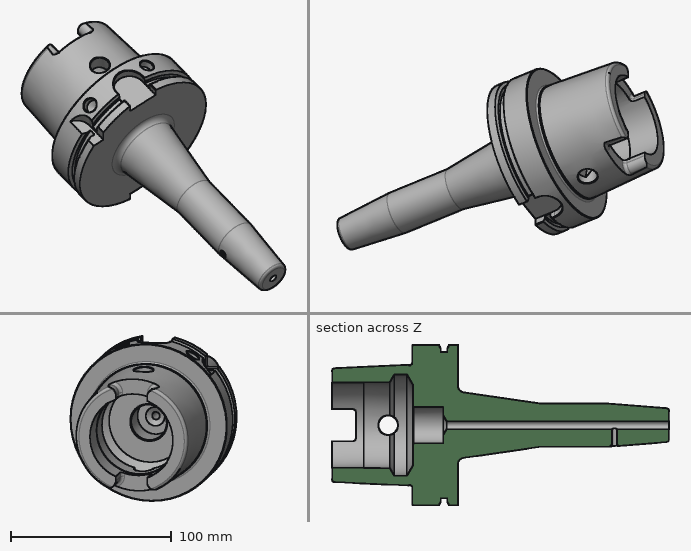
import cadquery as cq
import math


DRILL_HALF_ANGLE = 59.0
PICK_MARGIN = 1.0

SHANK_LENGTH = 50.0
SHANK_TIP_RADIUS = 35.5
SHANK_BASE_RADIUS = 75.5 / 2
SHANK_TIP_ROUND = 2.0
RELIEF_START = 47.7
RELIEF_FLANK_WIDTH = 0.5
RELIEF_END = 48.7
RELIEF_DEPTH = 0.5
SHANK_SLOPE = (SHANK_BASE_RADIUS - SHANK_TIP_RADIUS) / RELIEF_START
FLANGE_CORNER_ROUND = SHANK_LENGTH - RELIEF_END

FLANGE_RADIUS = 100.0 / 2
FLANGE_WIDTH = 28.5
REAR_RIM_CHAMFER = 0.5
FLANGE_END = SHANK_LENGTH + FLANGE_WIDTH
GROOVE_START = 66.8
GROOVE_END = 72.9
GROOVE_RADIUS = 45.5
GROOVE_FLANK_WIDTH = 1.0
GROOVE_FLANK_DEPTH = 2.3

TOTAL_LENGTH = 210.0
NECK_BASE_RADIUS = 21.0
NECK_FILLET = 4.2
NECK_END = 130.0
BODY_RADIUS = 27.0 / 2
BODY_END = 171.8
NOSE_TAPER_ANGLE = 4.5
NOSE_ROUND = 1.9

MOUTH_RADIUS = 53.0 / 2
MOUTH_DEPTH = 20.0
THROAT_RADIUS = 26.7
THROAT_END = 36.1
CHAMBER_RADIUS = 63.0 / 2
SHOULDER_ANGLE = 30.0
CAVITY_FLOOR_RADIUS = 25.2
CAVITY_FLOOR_X = 50.5
TUBE_SEAT_RADIUS = 22.5 / 2
TUBE_SEAT_CHAMFER = 0.6
TUBE_SEAT_END = 69.3
FUNNEL_RADIUS = 12.0 / 2
COOLANT_RADIUS = 4.8 / 2

SHANK_SLOT_WIDTH = 20.0
SHANK_SLOT_DEPTHS = {1: 9.7, -1: 15.0}
SHANK_SLOT_FLOOR_ROUND = 2.0
SLOT_SHOULDER_HEIGHT = 32.1
SLOT_SHOULDER_ROUND = 5.0

CROSS_HOLE_DIAMETER = 12.0
CROSS_HOLE_X = 35.0
CROSS_HOLE_CHAMFER = 0.5

END_MILL_DIAMETER = 20.0
DRIVE_SLOT_START = 55.0
DRIVE_SLOT_FLOOR = 43.7
DRIVE_SLOT_CHAMFER = 0.5
NOTCH_START = 54.6
NOTCH_OFFSET = 31.3

RIM_HOLE_DIAMETER = 8.6
RIM_HOLE_X = 58.8
RIM_HOLE_ANGLES = (22.0, -32.0)
RIM_HOLE_DEPTH = 5.0
RIM_HOLE_CHAMFER = 0.5

SIDE_HOLE_X = 176.0
SIDE_HOLE_DIAMETER = 5.0
SIDE_HOLE_DEPTH = 0.8
SIDE_BORE_DIAMETER = 3.0


def revolve_about_x(outline):
    return outline.close().revolve(360, (0, 0, 0), (1, 0, 0))


def edges_centered_near(*center):
    """Selector for edges whose center lies close to the given point."""
    low = tuple(c - PICK_MARGIN for c in center)
    high = tuple(c + PICK_MARGIN for c in center)
    return cq.selectors.BoxSelector(low, high)


def make_shank():
    relief_radius = SHANK_BASE_RADIUS - RELIEF_DEPTH
    shank = revolve_about_x(
        cq.Workplane("XY")
        .lineTo(0, SHANK_TIP_RADIUS)
        .lineTo(RELIEF_START, SHANK_BASE_RADIUS)
        .lineTo(RELIEF_START + RELIEF_FLANK_WIDTH, relief_radius)
        .lineTo(RELIEF_END, relief_radius)
        .lineTo(RELIEF_END, SHANK_BASE_RADIUS)
        .radiusArc((SHANK_LENGTH, SHANK_BASE_RADIUS + FLANGE_CORNER_ROUND), -FLANGE_CORNER_ROUND)
        .lineTo(SHANK_LENGTH, 0)
    )
    return shank.faces("<X").edges().fillet(SHANK_TIP_ROUND)


def make_flange_blank():
    blank = cq.Workplane("YZ", origin=(SHANK_LENGTH, 0, 0)).circle(FLANGE_RADIUS).extrude(FLANGE_WIDTH)
    return blank.faces("<X").chamfer(REAR_RIM_CHAMFER)


def make_gripper_groove():
    flank_radius = FLANGE_RADIUS - GROOVE_FLANK_DEPTH
    floor_start = GROOVE_START + GROOVE_FLANK_WIDTH
    floor_end = GROOVE_END - GROOVE_FLANK_WIDTH
    return revolve_about_x(
        cq.Workplane("XY")
        .moveTo(GROOVE_START, FLANGE_RADIUS)
        .lineTo(floor_start, flank_radius)
        .lineTo(floor_start, GROOVE_RADIUS)
        .lineTo(floor_end, GROOVE_RADIUS)
        .lineTo(floor_end, flank_radius)
        .lineTo(GROOVE_END, FLANGE_RADIUS)
    )


def make_nose():
    tip_radius = BODY_RADIUS - (TOTAL_LENGTH - BODY_END) * math.tan(math.radians(NOSE_TAPER_ANGLE))
    nose = revolve_about_x(
        cq.Workplane("XY")
        .moveTo(FLANGE_END, 0)
        .lineTo(FLANGE_END, NECK_BASE_RADIUS)
        .lineTo(NECK_END, BODY_RADIUS)
        .lineTo(BODY_END, BODY_RADIUS)
        .lineTo(TOTAL_LENGTH, tip_radius)
        .lineTo(TOTAL_LENGTH, 0)
    )
    return nose.faces(">X").edges().fillet(NOSE_ROUND)


def round_neck_root(body):
    reach = NECK_BASE_RADIUS + PICK_MARGIN
    root = cq.selectors.BoxSelector(
        (FLANGE_END - PICK_MARGIN, -reach, -reach),
        (FLANGE_END + PICK_MARGIN, reach, reach),
        boundingbox=True,
    )
    return body.edges(root).fillet(NECK_FILLET)


def make_cavity():
    shoulder_slope = math.tan(math.radians(SHOULDER_ANGLE))
    chamber_start = THROAT_END + (CHAMBER_RADIUS - THROAT_RADIUS) * shoulder_slope
    chamber_end = CAVITY_FLOOR_X - (CHAMBER_RADIUS - CAVITY_FLOOR_RADIUS) * shoulder_slope
    funnel_length = (FUNNEL_RADIUS - COOLANT_RADIUS) / math.tan(math.radians(DRILL_HALF_ANGLE))
    return revolve_about_x(
        cq.Workplane("XY")
        .lineTo(0, MOUTH_RADIUS)
        .lineTo(MOUTH_DEPTH, MOUTH_RADIUS)
        .lineTo(MOUTH_DEPTH, THROAT_RADIUS)
        .lineTo(THROAT_END, THROAT_RADIUS)
        .lineTo(chamber_start, CHAMBER_RADIUS)
        .lineTo(chamber_end, CHAMBER_RADIUS)
        .lineTo(CAVITY_FLOOR_X, CAVITY_FLOOR_RADIUS)
        .lineTo(CAVITY_FLOOR_X, TUBE_SEAT_RADIUS + TUBE_SEAT_CHAMFER)
        .lineTo(CAVITY_FLOOR_X + TUBE_SEAT_CHAMFER, TUBE_SEAT_RADIUS)
        .lineTo(TUBE_SEAT_END, TUBE_SEAT_RADIUS)
        .lineTo(TUBE_SEAT_END, FUNNEL_RADIUS)
        .lineTo(TUBE_SEAT_END + funnel_length, COOLANT_RADIUS)
        .lineTo(TOTAL_LENGTH, COOLANT_RADIUS)
        .lineTo(TOTAL_LENGTH, 0)
    )


def make_shank_slot(side, depth):
    """Slot across one wall of the shank, with rounded shoulders and a rounded floor edge."""
    half_width = SHANK_SLOT_WIDTH / 2
    shoulder_y = half_width + SLOT_SHOULDER_ROUND
    shoulder_base = SLOT_SHOULDER_HEIGHT - SLOT_SHOULDER_ROUND
    slot = (
        cq.Workplane("YZ")
        .moveTo(-half_width, 0)
        .lineTo(-half_width, shoulder_base)
        .radiusArc((-shoulder_y, SLOT_SHOULDER_HEIGHT), -SLOT_SHOULDER_ROUND)
        .lineTo(-FLANGE_RADIUS, SLOT_SHOULDER_HEIGHT)
        .lineTo(-FLANGE_RADIUS, FLANGE_RADIUS)
        .lineTo(FLANGE_RADIUS, FLANGE_RADIUS)
        .lineTo(FLANGE_RADIUS, SLOT_SHOULDER_HEIGHT)
        .lineTo(shoulder_y, SLOT_SHOULDER_HEIGHT)
        .radiusArc((half_width, shoulder_base), -SLOT_SHOULDER_ROUND)
        .lineTo(half_width, 0)
        .close()
        .extrude(depth)
    )
    side_edges = slot.faces(">X").edges("not(>Z or <Z or >Y or <Y)")
    slot = side_edges.fillet(SHANK_SLOT_FLOOR_ROUND)
    return slot if side > 0 else slot.mirror("XY")


def make_end_milled_slot(start_x, center_y, floor_z):
    """Round-ended slot cut from +Z down to floor_z and open at the nose side of the flange."""
    radius = END_MILL_DIAMETER / 2
    round_center = start_x + radius
    height = FLANGE_RADIUS - floor_z
    return (
        cq.Workplane("XY", origin=(0, center_y, floor_z))
        .moveTo(FLANGE_END, -radius)
        .lineTo(round_center, -radius)
        .threePointArc((start_x, 0), (round_center, radius))
        .lineTo(FLANGE_END, radius)
        .close()
        .extrude(height)
    )


def make_rim_hole(angle):
    """Radial drilled hole in the flange rim, turned about X from +Z toward +Y."""
    radius = RIM_HOLE_DIAMETER / 2
    floor_z = FLANGE_RADIUS - RIM_HOLE_DEPTH
    point_z = floor_z - radius / math.tan(math.radians(DRILL_HALF_ANGLE))
    hole = (
        cq.Workplane("XZ")
        .moveTo(0, point_z)
        .lineTo(radius, floor_z)
        .lineTo(radius, FLANGE_RADIUS)
        .lineTo(0, FLANGE_RADIUS)
        .close()
        .revolve(360, (0, 0, 0), (0, 1, 0))
    )
    return hole.rotate((0, 0, 0), (1, 0, 0), -angle).translate((RIM_HOLE_X, 0, 0))


def make_side_hole():
    axis_plane = cq.Workplane("XZ", origin=(SIDE_HOLE_X, 0, 0))
    bore = axis_plane.circle(SIDE_BORE_DIAMETER / 2).extrude(BODY_RADIUS)
    mouth_plane = axis_plane.workplane(offset=BODY_RADIUS - SIDE_HOLE_DEPTH)
    mouth = mouth_plane.circle(SIDE_HOLE_DIAMETER / 2).extrude(SIDE_HOLE_DEPTH)
    return mouth.union(bore)


def make_flange():
    flange = make_flange_blank()

    drive_slot = make_end_milled_slot(DRIVE_SLOT_START, 0, DRIVE_SLOT_FLOOR)
    for side, slot in ((1, drive_slot), (-1, drive_slot.mirror("XY"))):
        flange = flange.cut(slot)
        rim = cq.selectors.BoxSelector(
            (DRIVE_SLOT_START - PICK_MARGIN, -END_MILL_DIAMETER, side * (DRIVE_SLOT_FLOOR + PICK_MARGIN)),
            (FLANGE_END + PICK_MARGIN, END_MILL_DIAMETER, side * (FLANGE_RADIUS + PICK_MARGIN)),
            boundingbox=True,
        )
        flange = flange.edges(rim).chamfer(DRIVE_SLOT_CHAMFER)

    for angle in RIM_HOLE_ANGLES:
        flange = flange.cut(make_rim_hole(angle))
        turn = math.radians(angle)
        mouth_y = FLANGE_RADIUS * math.sin(turn)
        mouth_z = FLANGE_RADIUS * math.cos(turn)
        mouth = edges_centered_near(RIM_HOLE_X, mouth_y, mouth_z)
        flange = flange.edges(mouth).chamfer(RIM_HOLE_CHAMFER)

    notch_center_y = -NOTCH_OFFSET - END_MILL_DIAMETER / 2
    notch = make_end_milled_slot(NOTCH_START, notch_center_y, NOTCH_OFFSET)
    return flange.cut(notch).cut(make_gripper_groove())


def cut_cross_hole(body):
    drill = cq.Workplane("XY", origin=(CROSS_HOLE_X, 0, 0))
    body = body.cut(drill.circle(CROSS_HOLE_DIAMETER / 2).extrude(FLANGE_RADIUS, both=True))
    surface_radius = SHANK_TIP_RADIUS + SHANK_SLOPE * CROSS_HOLE_X
    for side in (1, -1):
        mouth = edges_centered_near(CROSS_HOLE_X, 0, side * surface_radius)
        body = body.edges(mouth).chamfer(CROSS_HOLE_CHAMFER)
    return body


body = round_neck_root(make_flange().union(make_nose()))
body = body.union(make_shank()).cut(make_cavity())
for side, depth in SHANK_SLOT_DEPTHS.items():
    body = body.cut(make_shank_slot(side, depth))
body = cut_cross_hole(body)
result = body.cut(make_side_hole())